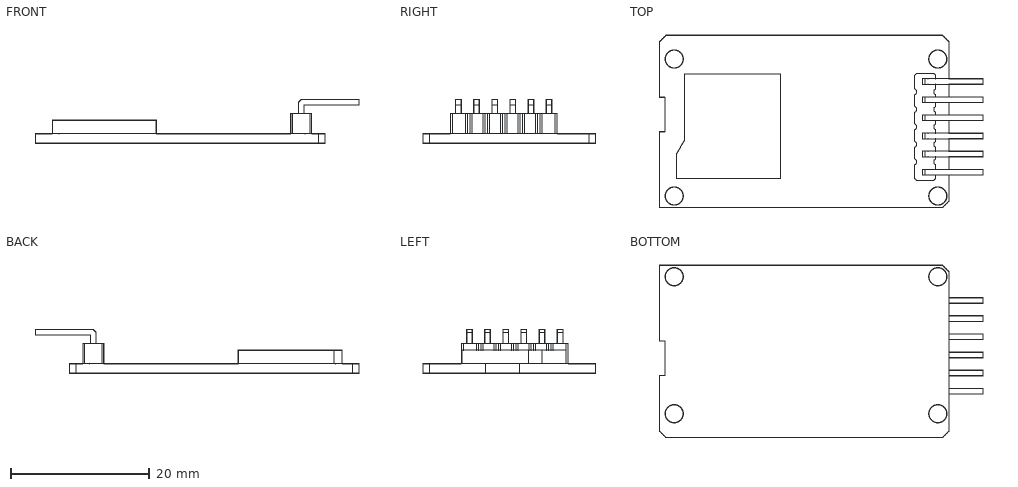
import cadquery as cq

overall_length = 46.9
overall_height = 6.4
board_length = 41.98
board_width = 25.0
board_thickness = 1.4
corner_cut = 1.0

edge_notch_depth = 0.8
edge_notch_width = 4.95
edge_notch_y = 1.0

hole_diameter = 2.6
hole_left_x = 2.15
hole_right_margin = 1.65
hole_spacing_y = 19.85
hole_center_y = -0.9

socket_left = 2.5
socket_right = 17.55
socket_front_y = -8.25
socket_back_y = 6.85
socket_height = 1.95
socket_step = 1.13
slant_start_y = -4.75
slant_end_y = -2.75

pin_count = 6
header_x = 38.5
header_y = -0.8
header_width = 3.05
header_length = 15.5
header_height = 2.95
header_corner_cut = 0.3
groove_pitch = 2.55
groove_depth = 0.3
groove_mouth = 0.95
groove_floor = groove_mouth - 2 * groove_depth

pin_pitch = 2.63
pin_size = 0.85
pin_bend_cut = 0.4


def make_board():
    """Plate with three cut corners, an edge notch and four mounting holes."""
    half_width = board_width / 2
    board = cq.Workplane("XY").box(
        board_length, board_width, board_thickness, centered=(False, True, False)
    )
    board = board.edges("|Z and >X").chamfer(corner_cut)
    board = board.edges(
        cq.selectors.NearestToPointSelector((0, half_width, board_thickness / 2))
    ).chamfer(corner_cut)

    edge_notch = (
        cq.Workplane("XY")
        .center(0, edge_notch_y)
        .rect(2 * edge_notch_depth, edge_notch_width)
        .extrude(board_thickness)
    )

    hole_centers = [
        (x, hole_center_y + side * hole_spacing_y / 2)
        for x in (hole_left_x, board_length - hole_right_margin)
        for side in (-1, 1)
    ]
    holes = (
        cq.Workplane("XY")
        .pushPoints(hole_centers)
        .circle(hole_diameter / 2)
        .extrude(board_thickness)
    )
    return board.cut(edge_notch).cut(holes)


def make_socket():
    """Block whose left side steps inward along a slanted face."""
    return (
        cq.Workplane("XY", origin=(0, 0, board_thickness))
        .moveTo(socket_left, socket_front_y)
        .lineTo(socket_right, socket_front_y)
        .lineTo(socket_right, socket_back_y)
        .lineTo(socket_left + socket_step, socket_back_y)
        .lineTo(socket_left + socket_step, slant_end_y)
        .lineTo(socket_left, slant_start_y)
        .close()
        .extrude(socket_height)
    )


def row_positions(count, pitch):
    """Evenly spaced Y positions centred on the header."""
    return [header_y + (i - (count - 1) / 2) * pitch for i in range(count)]


def make_groove(y, side):
    """Tapered vertical groove cutter on the left (-1) or right (+1) header face."""
    face_x = header_x + side * header_width / 2
    floor_x = face_x - side * groove_depth
    return (
        cq.Workplane("XY", origin=(0, 0, board_thickness))
        .moveTo(face_x, y - groove_mouth / 2)
        .lineTo(floor_x, y - groove_floor / 2)
        .lineTo(floor_x, y + groove_floor / 2)
        .lineTo(face_x, y + groove_mouth / 2)
        .close()
        .extrude(header_height)
    )


def make_header():
    """Plastic pin housing with cut corners and grooves between the cells."""
    header = (
        cq.Workplane("XY", origin=(header_x, header_y, board_thickness))
        .rect(header_width, header_length)
        .extrude(header_height)
        .edges("|Z")
        .chamfer(header_corner_cut)
    )
    for y in row_positions(pin_count - 1, groove_pitch):
        for side in (-1, 1):
            header = header.cut(make_groove(y, side))
    return header


def make_pin(y):
    """Square pin rising from the housing and bending toward +X."""
    left = header_x - pin_size / 2
    right = header_x + pin_size / 2
    base = board_thickness + header_height
    return (
        cq.Workplane("XZ", origin=(0, y + pin_size / 2, 0))
        .moveTo(left, base)
        .lineTo(right, base)
        .lineTo(right, overall_height - pin_size)
        .lineTo(overall_length, overall_height - pin_size)
        .lineTo(overall_length, overall_height)
        .lineTo(left + pin_bend_cut, overall_height)
        .lineTo(left, overall_height - pin_bend_cut)
        .close()
        .extrude(pin_size)
    )


result = make_board().union(make_socket()).union(make_header())
for pin_y in row_positions(pin_count, pin_pitch):
    result = result.union(make_pin(pin_y))